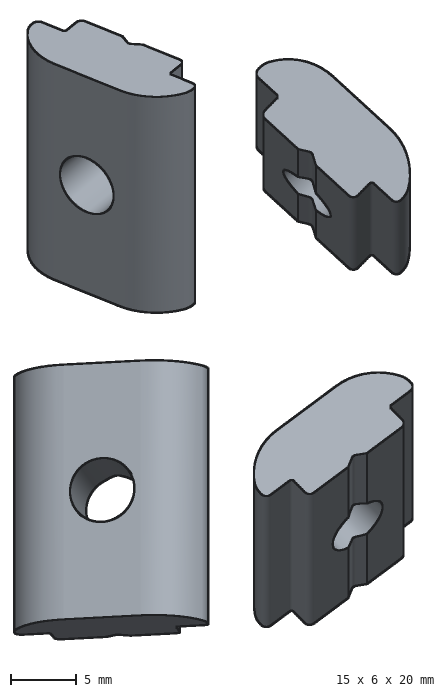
import cadquery as cq
import math

width = 15.0
thickness = 6.0
length = 20.0

rib_width = 9.75
rib_height = 2.0
outer_corner_radius = 0.5
inner_corner_radius = 0.2

front_flat_width = 6.0
flank_radius = 4.92
side_radius = 1.65

groove_width = 1.88
groove_angle = 30.0
groove_root_radius = 0.4
hole_diameter = 5.0

half_width = width / 2
half_flat = front_flat_width / 2
front_y = -thickness / 2
back_y = thickness / 2
shoulder_y = back_y - rib_height
groove_depth = groove_width / 2 * math.tan(math.radians(groove_angle))

flank_center_y = front_y + flank_radius
center_offset_x = half_width - side_radius - half_flat
join_angle = math.acos(center_offset_x / (flank_radius - side_radius))
side_center_x = half_width - side_radius
side_center_y = flank_center_y - (flank_radius - side_radius) * math.sin(join_angle)


def flank_point(angle):
    """Point on the right flank arc, angle in radians below horizontal."""
    x = half_flat + flank_radius * math.cos(angle)
    y = flank_center_y - flank_radius * math.sin(angle)
    return x, y


def side_point(angle):
    """Point on the right side arc, angle in radians below horizontal."""
    x = side_center_x + side_radius * math.cos(angle)
    y = side_center_y - side_radius * math.sin(angle)
    return x, y


def mirrored(point):
    return -point[0], point[1]


def make_base():
    flank_middle = flank_point((join_angle + math.pi / 2) / 2)
    join = flank_point(join_angle)
    side_middle = side_point(join_angle / 2)
    side_end = side_point(0)
    return (
        cq.Workplane("XY")
        .moveTo(-half_flat, front_y)
        .lineTo(half_flat, front_y)
        .threePointArc(flank_middle, join)
        .threePointArc(side_middle, side_end)
        .lineTo(half_width, shoulder_y)
        .lineTo(rib_width / 2, shoulder_y)
        .lineTo(rib_width / 2, back_y)
        .lineTo(-rib_width / 2, back_y)
        .lineTo(-rib_width / 2, shoulder_y)
        .lineTo(-half_width, shoulder_y)
        .lineTo(*mirrored(side_end))
        .threePointArc(mirrored(side_middle), mirrored(join))
        .threePointArc(mirrored(flank_middle), (-half_flat, front_y))
        .close()
        .extrude(length)
    )


def fillet_pair(body, x, y, radius):
    """Round the two full-length edges at plus and minus x."""
    right = cq.selectors.NearestToPointSelector((x, y, length / 2))
    left = cq.selectors.NearestToPointSelector((-x, y, length / 2))
    return body.edges("|Z").edges(right + left).fillet(radius)


def round_corners(body):
    body = fillet_pair(body, half_width, shoulder_y, outer_corner_radius)
    body = fillet_pair(body, rib_width / 2, back_y, outer_corner_radius)
    return fillet_pair(body, rib_width / 2, shoulder_y, inner_corner_radius)


def make_groove():
    return (
        cq.Workplane("XY")
        .polyline(
            [
                (-groove_width / 2, back_y),
                (0, back_y - groove_depth),
                (groove_width / 2, back_y),
            ]
        )
        .close()
        .extrude(length)
        .edges("|Z and <Y")
        .fillet(groove_root_radius)
    )


def make_hole():
    return (
        cq.Workplane("XZ", origin=(0, back_y, length / 2))
        .circle(hole_diameter / 2)
        .extrude(thickness)
    )


result = round_corners(make_base()).cut(make_groove()).cut(make_hole())